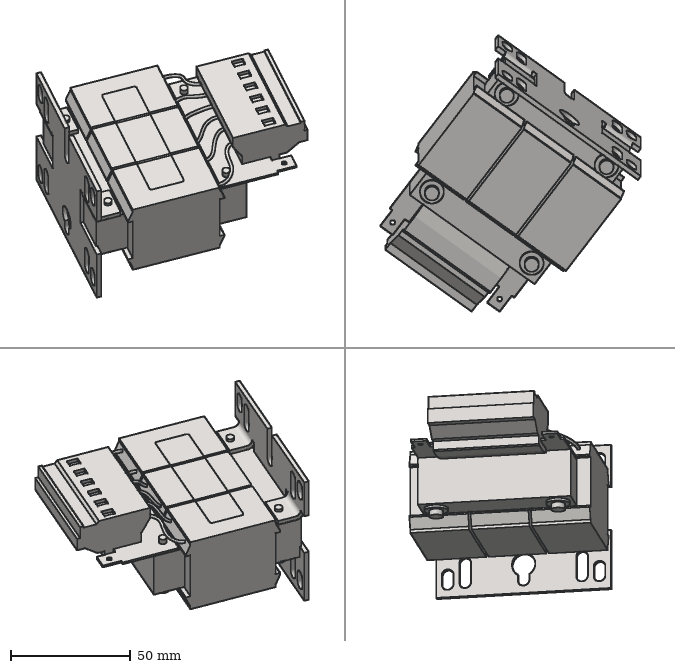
import cadquery as cq


plate_width = 74.5
plate_height = 63.0
plate_thickness = 2.1
notch_inner_x = 17.1
notch_bottom_z = 25.5
notch_top_z = 44.9
slot_width = 5.0
outer_slot_x = 32.4
outer_slot_length = 8.9
outer_slot_offset = 23.7
inner_slot_x = 24.9
inner_slot_length = 13.4
inner_slot_offset = 21.2
top_slot_bottom_z = 45.5
keyhole_radius = 5.0
keyhole_z = 12.5
keyhole_bottom_z = 3.3
tab_center_x = 26.1
tab_width = 14.0
tab_end_y = 12.2

core_width = 65.1
core_front_y = 1.4
core_back_y = 68.5
core_bottom_z = 20.1
core_top_z = 40.5

coil_total_width = 77.0
middle_coil_width = 24.6
coil_gap = 1.1
coil_front_y = 15.6
coil_back_y = 54.4
coil_bottom_z = 12.3
coil_top_z = 48.0
flange_reach = 2.1
flange_edge = 1.4
flange_height = 7.0
flange_lip = 0.7

label_width = 60.0
label_depth = 15.3
label_y = 34.1
label_corner = 1.0
label_thickness = 0.3
label_proud = 0.1

bracket_width = 64.9
bracket_thickness = 1.0
bracket_front_y = 57.2
bracket_back_y = 82.7
lug_x = 27.9
lug_width = 6.6
lug_end_y = 91.3
lug_hole_y = 86.9
lug_hole_diameter = 2.0

bolt_x = 26.0
bolt_front_y = 9.0
bolt_back_y = 61.8
bolt_diameter = 3.3
bolt_top_z = 43.9
washer_diameter = 10.0
washer_thickness = 1.1
head_diameter = 6.0
head_height = 2.5

block_width = 45.1
block_top_z = 58.4
pocket_pitch = 7.4
pocket_count = 6
pocket_width = 3.4
pocket_length = 4.9
pocket_depth = 1.7
pocket_y = 83.4

wire_diameter = 1.4
wire_start_y = 68.5
wire_end_y = 54.6
wire_end_z = 44.9


def box(x_min, x_max, y_min, y_max, z_min, z_max):
    """Box given by its limits along each axis."""
    size = (x_max - x_min, y_max - y_min, z_max - z_min)
    return cq.Workplane("XY").box(*size, centered=False).translate((x_min, y_min, z_min))


def cylinder(x, y, diameter, z_min, z_max):
    """Upright cylinder."""
    return cq.Workplane("XY", origin=(x, y, z_min)).circle(diameter / 2).extrude(z_max - z_min)


def side_profile(sketch, x_center, width):
    """Extrude a closed outline drawn in Y and Z, centred on x_center."""
    return sketch.extrude(width / 2, both=True).translate((x_center, 0, 0))


def upright_slot(x, z, length):
    """Cutter for a round-ended upright slot through the plate."""
    return (
        cq.Workplane("XZ", origin=(x, 0, z))
        .slot2D(length, slot_width, 90)
        .extrude(-plate_thickness)
    )


def make_plate():
    plate = box(-plate_width / 2, plate_width / 2, 0, plate_thickness, 0, plate_height)
    middle_z = plate_height / 2
    for side in (-1, 1):
        notch_x = sorted((side * notch_inner_x, side * plate_width / 2))
        plate = plate.cut(box(*notch_x, 0, plate_thickness, notch_bottom_z, notch_top_z))
        for level in (-1, 1):
            outer_z = middle_z + level * outer_slot_offset
            inner_z = middle_z + level * inner_slot_offset
            plate = plate.cut(upright_slot(side * outer_slot_x, outer_z, outer_slot_length))
            plate = plate.cut(upright_slot(side * inner_slot_x, inner_z, inner_slot_length))

    top_slot_length = 2 * (plate_height - top_slot_bottom_z)
    plate = plate.cut(upright_slot(0, plate_height, top_slot_length))

    keyhole = cq.Workplane("XZ", origin=(0, 0, keyhole_z)).circle(keyhole_radius).extrude(-plate_thickness)
    neck_length = keyhole_z - keyhole_bottom_z
    plate = plate.cut(keyhole)
    return plate.cut(upright_slot(0, keyhole_z - neck_length / 2, neck_length))


def make_tab(x):
    """Tab bent back from the plate so that it lies on the core."""
    inner_radius = notch_top_z - core_top_z - plate_thickness
    outer_radius = inner_radius + plate_thickness
    bend_y = plate_thickness + inner_radius
    flat = box(
        x - tab_width / 2, x + tab_width / 2,
        bend_y, tab_end_y,
        core_top_z, core_top_z + plate_thickness,
    )
    ring = (
        cq.Workplane("YZ", origin=(0, bend_y, notch_top_z))
        .circle(outer_radius)
        .circle(inner_radius)
    )
    quarter = box(
        x - tab_width / 2, x + tab_width / 2,
        0, bend_y,
        core_top_z, notch_top_z,
    )
    return flat.union(side_profile(ring, x, tab_width).intersect(quarter))


def make_core():
    core = box(-core_width / 2, core_width / 2, core_front_y, core_back_y, core_bottom_z, core_top_z)
    for side in (-1, 1):
        window_x = sorted((side * middle_coil_width / 2, side * (middle_coil_width / 2 + coil_gap)))
        core = core.cut(box(*window_x, coil_front_y, coil_back_y, core_bottom_z, core_top_z))
    return core


def make_coil(x, width):
    """Coil body with a flared flange above and below the core at both ends."""
    coil = box(
        x - width / 2, x + width / 2,
        coil_front_y, coil_back_y,
        coil_bottom_z, coil_top_z,
    )
    for end_y, outward in ((coil_front_y, -1), (coil_back_y, 1)):
        for edge_z, inward in ((coil_bottom_z, 1), (coil_top_z, -1)):
            tip_z = edge_z + inward * flange_height
            flange = cq.Workplane("YZ").polyline([
                (end_y, edge_z + inward * flange_edge),
                (end_y + outward * flange_reach, tip_z - inward * flange_lip),
                (end_y + outward * flange_reach, tip_z),
                (end_y, tip_z),
            ]).close()
            coil = coil.union(side_profile(flange, x, width))
    return coil


def make_coils():
    outer_inner_x = middle_coil_width / 2 + coil_gap
    outer_width = coil_total_width / 2 - outer_inner_x
    coils = make_coil(0, middle_coil_width)
    for side in (-1, 1):
        coils = coils.union(make_coil(side * (outer_inner_x + outer_width / 2), outer_width))
    return coils


def make_label():
    return (
        cq.Workplane("XY", origin=(0, label_y, coil_top_z + label_proud - label_thickness))
        .rect(label_width, label_depth)
        .extrude(label_thickness)
        .edges("|Z")
        .fillet(label_corner)
    )


def make_bracket():
    top_z = core_top_z + bracket_thickness
    bracket = box(
        -bracket_width / 2, bracket_width / 2,
        bracket_front_y, bracket_back_y,
        core_top_z, top_z,
    )
    for x in (-lug_x, lug_x):
        lug = box(
            x - lug_width / 2, x + lug_width / 2,
            bracket_back_y, lug_end_y,
            core_top_z, top_z,
        )
        hole = cylinder(x, lug_hole_y, lug_hole_diameter, core_top_z, top_z)
        bracket = bracket.union(lug.cut(hole))
    return bracket


def make_bolt(x, y):
    """Bolt with its washer and head under the core and its end standing above it."""
    washer_bottom_z = core_bottom_z - washer_thickness
    shank = cylinder(x, y, bolt_diameter, core_bottom_z, bolt_top_z)
    washer = cylinder(x, y, washer_diameter, washer_bottom_z, core_bottom_z)
    head = cylinder(x, y, head_diameter, washer_bottom_z - head_height, washer_bottom_z)
    return shank.union(washer).union(head)


def make_terminal_block():
    outline = cq.Workplane("YZ").polyline([
        (66.0, block_top_z),
        (89.3, block_top_z),
        (90.5, 57.0),
        (96.2, 57.0),
        (96.2, 57.7),
        (97.9, 57.7),
        (97.9, 51.9),
        (99.3, 51.9),
        (99.3, 45.8),
        (95.6, 45.8),
        (90.0, core_top_z + bracket_thickness),
        (86.8, core_top_z + bracket_thickness),
        (86.8, 37.8),
        (85.9, 37.3),
        (78.4, 37.3),
        (70.1, 39.0),
        (70.1, 46.1),
        (66.0, 52.9),
    ]).close()
    block = side_profile(outline, 0, block_width)
    pockets = (
        cq.Workplane("XY", origin=(0, pocket_y, block_top_z - pocket_depth))
        .rarray(pocket_pitch, 1, pocket_count, 1)
        .rect(pocket_width, pocket_length)
        .extrude(pocket_depth)
    )
    return block.cut(pockets)


def make_wire(start_x, start_z, bends, end_x):
    """Round wire from the terminal block, through its bends, to a coil flange."""
    points = [(start_x, wire_start_y, start_z), *bends, (end_x, wire_end_y, wire_end_z)]
    path = cq.Workplane("XY").spline(points)
    return (
        cq.Workplane("XZ", origin=points[0])
        .circle(wire_diameter / 2)
        .sweep(path)
    )


wire_runs = [
    (-19.1, 51.3, [(-19.3, 64.8, 51.3), (-22.0, 62.0, 50.7), (-29.1, 61.5, 47.9), (-32.6, 58.8, 45.9)], -33.5),
    (-11.6, 52.0, [(-11.6, 62.8, 52.0), (-13.1, 60.8, 51.1), (-17.3, 58.1, 47.6)], -18.5),
    (-3.7, 52.0, [(-3.7, 62.1, 52.0), (-4.4, 60.1, 50.8), (-6.9, 57.2, 47.2)], -7.4),
    (3.9, 52.0, [(3.9, 62.1, 52.0), (4.6, 60.1, 50.8), (6.9, 57.2, 47.2)], 7.4),
    (10.9, 52.0, [(11.0, 63.9, 51.5), (12.7, 61.6, 49.1), (17.5, 58.4, 45.7)], 18.5),
    (18.5, 50.5, [(19.3, 65.1, 50.5), (22.2, 63.5, 49.7), (28.8, 63.2, 47.5), (32.8, 60.2, 45.7)], 33.6),
]

result = make_plate().union(make_core()).union(make_coils()).union(make_label()).union(make_bracket())
for side in (-1, 1):
    result = result.union(make_tab(side * tab_center_x))
    for bolt_y in (bolt_front_y, bolt_back_y):
        result = result.union(make_bolt(side * bolt_x, bolt_y))
result = result.union(make_terminal_block())
for wire_run in wire_runs:
    result = result.union(make_wire(*wire_run))